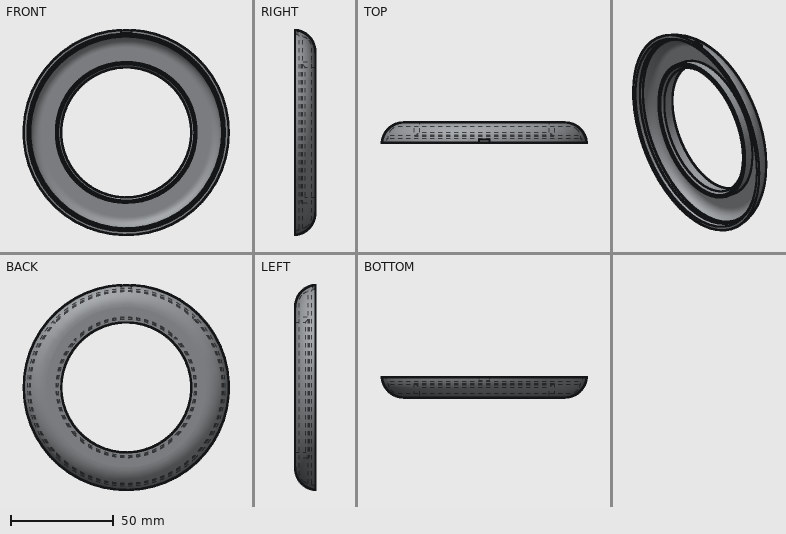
import cadquery as cq
import math

outer_radius = 49.9
depth = 10.0
crown_flat_radius = 38.9
floor_y = 8.0
floor_radius = 41.4

mouth_radius = 48.0
ledge_outer_radius = 47.2
ledge_inner_radius = 46.9
ledge_y = 2.0
corner_start_radius = 46.6
corner_start_y = 3.6

hub_radius = 34.2
hub_tip_y = 3.0
tip_chamfer = 0.5
bore_radius = 31.5
flare_outer_radius = 33.1
flare_inner_radius = 32.0
flare_start_y = 3.7
flare_end_y = 4.6
bore_start_y = 4.9

notch_width = 5.2
notch_depth = 1.5
notch_bottom_z = 48.2


def tangent_arc_middle(flat_radius, flat_y, edge_radius, edge_y):
    """Middle of the arc that leaves a flat face tangentially and runs out to an edge."""
    width = edge_radius - flat_radius
    height = flat_y - edge_y
    arc_radius = (width**2 + height**2) / (2 * height)
    center_y = flat_y - arc_radius
    edge_angle = math.asin((edge_y - center_y) / arc_radius)
    middle_angle = (edge_angle + math.pi / 2) / 2
    return (
        flat_radius + arc_radius * math.cos(middle_angle),
        center_y + arc_radius * math.sin(middle_angle),
    )


def make_ring():
    crown_middle = tangent_arc_middle(crown_flat_radius, depth, outer_radius, 0)
    corner_middle = tangent_arc_middle(floor_radius, floor_y, corner_start_radius, corner_start_y)

    profile = (
        cq.Workplane("XY")
        .moveTo(bore_radius, depth)
        .lineTo(crown_flat_radius, depth)
        .threePointArc(crown_middle, (outer_radius, 0))
        .lineTo(mouth_radius, 0)
        .lineTo(ledge_outer_radius, ledge_y)
        .lineTo(ledge_inner_radius, ledge_y)
        .lineTo(ledge_inner_radius, corner_start_y)
        .lineTo(corner_start_radius, corner_start_y)
        .threePointArc(corner_middle, (floor_radius, floor_y))
        .lineTo(hub_radius, floor_y)
        .lineTo(hub_radius, hub_tip_y + tip_chamfer)
        .lineTo(hub_radius - tip_chamfer, hub_tip_y)
        .lineTo(flare_outer_radius, hub_tip_y)
        .lineTo(flare_outer_radius, flare_start_y)
        .lineTo(flare_inner_radius, flare_end_y)
        .lineTo(bore_radius, bore_start_y)
        .close()
    )
    return profile.revolve(360, (0, 0, 0), (0, 1, 0))


def make_notch():
    height = outer_radius - notch_bottom_z
    block = cq.Workplane("XY").box(notch_width, notch_depth, height, centered=(True, False, False))
    return block.translate((0, 0, notch_bottom_z))


result = make_ring().cut(make_notch())